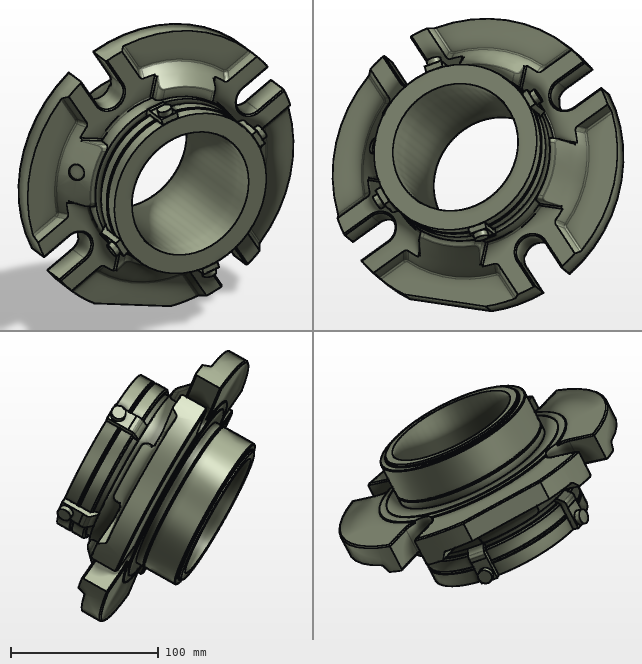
import cadquery as cq
import math

end_ring_start = 1.5
barrel_start = 2.0
groove_start = 26.0
groove_end = 27.2
pilot_face = 32.5
step_face = 33.0
flange_front = 33.6
flange_back = 48.5
pad_face = 54.0
boss_face = 66.0
short_boss_face = 62.5
hub_face = 66.9
collar_start = 71.3
relief_start = 81.3
relief_end = 82.7
total_length = 92.6

bore_radius = 89.0 / 2
nose_radius = 49.7
end_ring_radius = 101.5 / 2
barrel_radius = 109.5 / 2
groove_radius = 106.5 / 2
neck_radius = barrel_radius
pilot_radius = 129.5 / 2
step_radius = 70.7
flange_radius = 101.3
hub_radius = 118.0 / 2
collar_radius = 115.7 / 2
relief_radius = 103.5 / 2
edge_chamfer = 1.0
barrel_chamfer = 0.6
step_chamfer = 0.6
collar_chamfer = 1.2
relief_chamfer = 0.5
cove_radius = 1.2
floor_fillet = 1.8
pad_root_fillet = 4.0

tolerance = 0.02

slot_angle = 32.2
quarter_turns = (0, 90, 180, 270)
slot_width = 21.9
slot_center_radius = 78.2
pad_base_width = 55.1
pad_top_width = 47.8

boss_angle = slot_angle + 45.0
boss_width = 44.5
boss_corner_radius = 3.6
boss_edge_fillet = 0.8
cone_base_radius = 80.3
short_boss_turn = 270
flat_distance = 96.9
flat_angle = boss_angle + 90.0

port_diameter = 11.0
port_depth = 2.0
port_station = 58.0

clip_angles = (15.0, 120.0, 195.0, 300.0)
clip_width = 12.2
clip_top_radius = 62.5
clip_seat_radius = collar_radius
clip_foot_radius = 56.0
clip_outer_bend = 71.7
clip_inner_bend = 72.5
clip_bend_radius = 3.0
clip_step_station = 76.2
clip_step_depth = 0.2
screw_diameter = 10.0
screw_inset = 0.2
screw_station = total_length - screw_diameter / 2 - screw_inset
screw_top_radius = 66.3


def cylinder(start, end, radius):
    """Solid disc around the X axis between two stations."""
    return cq.Workplane("YZ").workplane(offset=start).circle(radius).extrude(end - start)


def turned(points):
    """Solid of revolution around X from (station, radius) points."""
    first_station, last_station = points[0][0], points[-1][0]
    outline = [(first_station, 0)] + points + [(last_station, 0)]
    return cq.Workplane("XY").polyline(outline).close().revolve(360, (0, 0, 0), (1, 0, 0))


def turn(body, angle):
    """Swing a body drawn around +Z about the X axis, towards -Y."""
    return body.rotate((0, 0, 0), (1, 0, 0), angle)


def cone_radius(station):
    """Radius of the 45 degree cone shared by the hub root and the bosses."""
    return cone_base_radius - (station - flange_back)


def cove(station, radius):
    """Concave fillet ring where a cylinder rises from a flat face."""
    return (
        cq.Workplane("XY")
        .moveTo(station, radius - cove_radius)
        .lineTo(station, radius + cove_radius)
        .radiusArc((station + cove_radius, radius), -cove_radius)
        .lineTo(station + cove_radius, radius - cove_radius)
        .close()
        .revolve(360, (0, 0, 0), (1, 0, 0))
    )


def make_sleeve():
    """Full-length sleeve with its nose, barrel, groove, neck and collar."""
    return turned([
        (0, nose_radius),
        (end_ring_start, nose_radius),
        (end_ring_start, end_ring_radius),
        (barrel_start, end_ring_radius),
        (barrel_start, barrel_radius - barrel_chamfer),
        (barrel_start + barrel_chamfer, barrel_radius),
        (groove_start, barrel_radius),
        (groove_start, groove_radius),
        (groove_end, groove_radius),
        (groove_end, neck_radius),
        (collar_start, neck_radius),
        (collar_start, collar_radius - collar_chamfer),
        (collar_start + collar_chamfer, collar_radius),
        (relief_start - relief_chamfer, collar_radius),
        (relief_start, collar_radius - relief_chamfer),
        (relief_start, relief_radius),
        (relief_end, relief_radius),
        (relief_end, collar_radius - relief_chamfer),
        (relief_end + relief_chamfer, collar_radius),
        (total_length, collar_radius),
    ])


def make_pad():
    """Raised pad around one slot, pointing along +Z."""
    half_base = pad_base_width / 2
    half_top = pad_top_width / 2
    return (
        cq.Workplane("XY")
        .polyline([
            (flange_back, -half_base),
            (flange_back, half_base),
            (pad_face, half_top),
            (pad_face, -half_top),
        ])
        .close()
        .extrude(flange_radius)
    )


def slot_prism(start, width, length, taper=0):
    """Round-ended open slot profile, pointing along +Z, extruded along X."""
    half = width / 2
    outer = 1.5 * flange_radius
    return (
        cq.Workplane("YZ")
        .workplane(offset=start)
        .moveTo(-half, outer)
        .lineTo(-half, slot_center_radius)
        .threePointArc((0, slot_center_radius - half), (half, slot_center_radius))
        .lineTo(half, outer)
        .close()
        .extrude(length, taper=taper)
    )


def make_slot():
    """Cutter for one slot with a chamfered mouth at the pad face."""
    through = slot_prism(pilot_face, slot_width, pad_face - pilot_face)
    mouth = slot_prism(pad_face, slot_width + 2 * edge_chamfer, -edge_chamfer, 45)
    return through.union(mouth)


def make_root_cone(end):
    """Conical root of the hub, from the flange back up to a station."""
    return turned([(flange_back, cone_radius(flange_back)), (end, cone_radius(end))])


def is_root_edge(edge):
    """True where a sloping pad side runs into the root cone."""
    return edge.geomType() == "HYPERBOLA"


def is_floor_edge(edge):
    """True on the back of the flange plate, inside its rim."""
    box = edge.BoundingBox()
    middle = edge.positionAt(0.5)
    on_back = abs(box.xmin - flange_back) < tolerance and box.xlen < tolerance
    return on_back and math.hypot(middle.y, middle.z) < flange_radius - tolerance


def make_flange():
    """Plate with four pads and the root cone, blended, flattened and slotted."""
    pads = make_pad()
    for angle in quarter_turns[1:]:
        pads = pads.union(turn(make_pad(), angle))
    pads = turn(pads, slot_angle).intersect(cylinder(flange_back, pad_face, flange_radius))
    pads = pads.union(make_root_cone(pad_face))
    pads = pads.edges().filter(is_root_edge).fillet(pad_root_fillet)
    plate = cylinder(flange_front, flange_back, flange_radius).union(pads)
    plate = plate.edges().filter(is_floor_edge).fillet(floor_fillet)

    flat_cutter = (
        cq.Workplane("XY")
        .workplane(offset=flat_distance)
        .rect(4 * flange_radius, 4 * flange_radius)
        .extrude(flange_radius)
    )
    plate = plate.cut(turn(flat_cutter, flat_angle))
    for angle in quarter_turns:
        plate = plate.cut(turn(make_slot(), slot_angle + angle))
    return plate.faces("<X").chamfer(edge_chamfer)


def make_boss(face):
    """Boss with a conical back, rounded corners and a coved foot, pointing along +Z."""
    half = boss_width / 2
    cone = make_root_cone(face)
    block = (
        cq.Workplane("XY")
        .center((flange_back + face) / 2, 0)
        .rect(face - flange_back, boss_width)
        .extrude(flange_radius)
        .edges("|Z and >X")
        .fillet(boss_corner_radius)
        .intersect(cone)
    )
    block = block.faces("%CONE").edges("not(<X)").fillet(boss_edge_fillet)
    foot = (
        cq.Workplane("XY")
        .moveTo(pad_face, -half - cove_radius)
        .radiusArc((pad_face + cove_radius, -half), -cove_radius)
        .lineTo(pad_face + cove_radius, half)
        .radiusArc((pad_face, half + cove_radius), -cove_radius)
        .close()
        .extrude(flange_radius)
        .intersect(cone)
    )
    return block.union(foot)


def make_port():
    """Shallow drilling square to the cone, pointing along +Z."""
    surface_point = cq.Vector(port_station, 0, cone_radius(port_station))
    inward = cq.Vector(-1, 0, -1).normalized()
    start = surface_point - inward * port_diameter
    drill = cq.Solid.makeCylinder(port_diameter / 2, port_diameter + port_depth, start, inward)
    return cq.Workplane(obj=drill)


def make_clip():
    """Bent clip bridging the collar and its screw head, pointing along +Z."""
    strap = (
        cq.Workplane("XZ")
        .polyline([
            (hub_face, neck_radius),
            (hub_face, clip_foot_radius),
            (clip_outer_bend, clip_top_radius),
            (total_length, clip_top_radius),
            (total_length, clip_seat_radius),
            (clip_inner_bend, clip_seat_radius),
            (clip_inner_bend - (clip_seat_radius - neck_radius), neck_radius),
        ])
        .close()
        .extrude(clip_width / 2, both=True)
    )
    bend = cq.selectors.NearestToPointSelector((clip_outer_bend, 0, clip_top_radius))
    strap = strap.edges(bend).fillet(clip_bend_radius)
    step = (
        cq.Workplane("XY", origin=(clip_step_station, 0, clip_top_radius - clip_step_depth))
        .rect(2 * total_length, 2 * clip_width)
        .extrude(clip_step_depth)
        .intersect(cylinder(clip_step_station, total_length, flange_radius))
    )
    strap = strap.cut(step)
    screw = (
        cq.Workplane("XY", origin=(screw_station, 0, relief_radius))
        .circle(screw_diameter / 2)
        .extrude(screw_top_radius - relief_radius)
    )
    return strap.union(screw)


def make_hub():
    """Hub behind the flange with a coved foot on the pads."""
    return cylinder(pilot_face, hub_face, hub_radius).union(cove(pad_face, hub_radius))


body = make_flange()
steps = cylinder(step_face, flange_back, step_radius).faces("<X").chamfer(step_chamfer)
steps = steps.union(cylinder(pilot_face, flange_back, pilot_radius))
for angle in quarter_turns:
    steps = steps.cut(turn(make_slot(), slot_angle + angle))
body = body.union(steps).union(make_hub())

for angle in quarter_turns:
    face = short_boss_face if angle == short_boss_turn else boss_face
    body = body.union(turn(make_boss(face), boss_angle + angle))
body = body.cut(turn(make_port(), boss_angle))

body = body.union(make_sleeve())
for angle in clip_angles:
    body = body.union(turn(make_clip(), angle))
result = body.cut(cylinder(0, total_length, bore_radius))